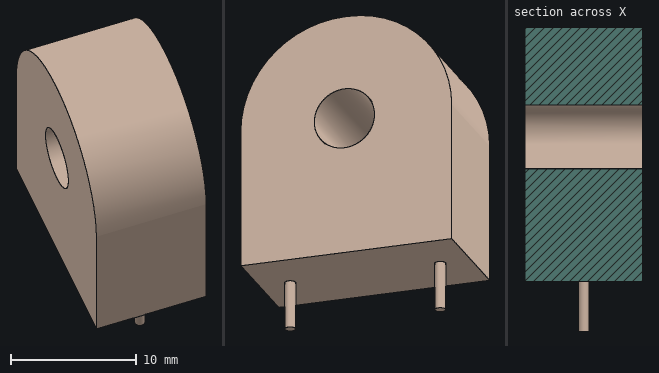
import cadquery as cq

width = 17.8
depth = 9.4
total_height = 24.3
top_flat = 0.3
corner_radius = (width - top_flat) / 2

pin_diameter = 0.9
pin_length = 3.99
pin_spacing = 12.65

hole_diameter = 5.08
hole_x = top_flat / 2

housing_height = total_height - pin_length
arc_center_z = housing_height - corner_radius


def make_housing():
    block = cq.Workplane("XY").box(width, depth, housing_height, centered=(True, True, False))
    return block.edges("|Y and >Z").fillet(corner_radius)


def make_hole():
    return (
        cq.Workplane("XZ")
        .center(hole_x, arc_center_z)
        .circle(hole_diameter / 2)
        .extrude(depth / 2, both=True)
    )


def make_pins():
    return (
        cq.Workplane("XY")
        .pushPoints([(-pin_spacing / 2, 0), (pin_spacing / 2, 0)])
        .circle(pin_diameter / 2)
        .extrude(-pin_length)
    )


result = make_housing().cut(make_hole()).union(make_pins())